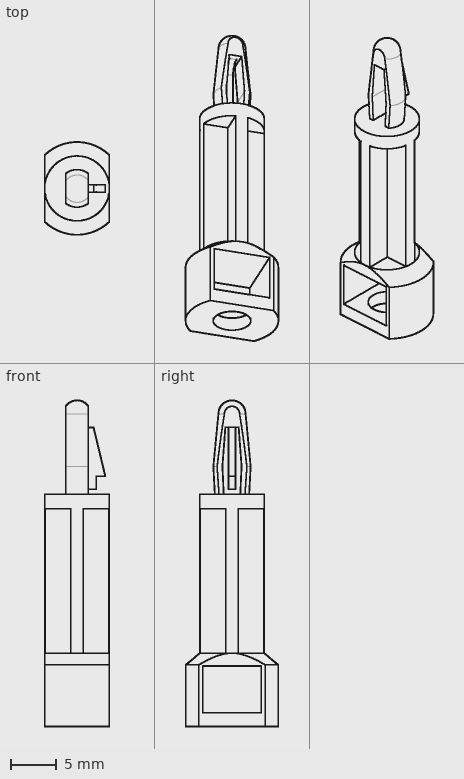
import cadquery as cq

foot_diameter = 10.15
body_diameter = 7.1
foot_height = 6.73
shoulder_top = 8.0
window_width = 6.35
window_bottom = 1.53
window_top = 6.6
screw_hole_diameter = 4.1

rib_thickness = 1.4
collar_bottom = 23.75
collar_top = 25.35

total_height = 35.6
pin_width = 2.5
pin_base_radius = 1.9
pin_bulge_radius = 2.047
pin_bulge_z = 28.37
dome_radius = 1.5
dome_base_z = total_height - dome_radius
slot_top = 32.65
slot_base_half_width = 0.9
slot_bulge_half_width = 1.05
slot_top_half_width = 0.7

barb_thickness = 0.8
barb_inner_x = 0.82
barb_root_radius = 1.28
barb_top_x = 1.8
barb_tip_x = 3.1
barb_tip_z = 27.3
barb_tail_x = 2.1
barb_bottom = 25.88


def cylinder(diameter, bottom, top):
    return cq.Workplane("XY").workplane(offset=bottom).circle(diameter / 2).extrude(top - bottom)


def box(x_size, y_size, bottom, top):
    return cq.Workplane("XY").workplane(offset=bottom).rect(x_size, y_size).extrude(top - bottom)


def make_foot():
    foot = (
        cq.Workplane("XZ")
        .lineTo(foot_diameter / 2, 0)
        .lineTo(foot_diameter / 2, foot_height)
        .lineTo(body_diameter / 2, shoulder_top)
        .lineTo(0, shoulder_top)
        .close()
        .revolve(360, (0, 0, 0), (0, 1, 0))
    )
    foot = foot.intersect(box(body_diameter, foot_diameter, 0, shoulder_top))
    window = box(body_diameter, window_width, window_bottom, window_top)
    screw_hole = cylinder(screw_hole_diameter, 0, window_bottom)
    return foot.cut(window).cut(screw_hole)


def make_column():
    ribs = box(body_diameter, rib_thickness, shoulder_top, collar_bottom)
    ribs = ribs.union(box(rib_thickness, body_diameter, shoulder_top, collar_bottom))
    ribs = ribs.intersect(cylinder(body_diameter, shoulder_top, collar_bottom))
    return ribs.union(cylinder(body_diameter, collar_bottom, collar_top))


def make_pin():
    dome_mid = dome_radius * 0.5 ** 0.5
    pin = (
        cq.Workplane("XZ")
        .moveTo(0, collar_top)
        .lineTo(pin_base_radius, collar_top)
        .lineTo(pin_bulge_radius, pin_bulge_z)
        .lineTo(dome_radius, dome_base_z)
        .threePointArc((dome_mid, dome_base_z + dome_mid), (0, total_height))
        .close()
        .revolve(360, (0, 0, 0), (0, 1, 0))
    )
    pin = pin.intersect(box(pin_width, 2 * pin_bulge_radius, collar_top, total_height))
    slot = (
        cq.Workplane("YZ")
        .moveTo(0, collar_top)
        .lineTo(slot_base_half_width, collar_top)
        .lineTo(slot_bulge_half_width, pin_bulge_z)
        .lineTo(slot_top_half_width, slot_top)
        .lineTo(0, slot_top)
        .close()
        .extrude(pin_width / 2, both=True)
    )
    return pin.cut(slot).cut(slot.mirror("XZ"))


def make_barb():
    arc_mid = barb_root_radius * (1 - 0.5 ** 0.5)
    return (
        cq.Workplane("XZ")
        .moveTo(barb_inner_x, barb_bottom)
        .lineTo(barb_tail_x, barb_bottom)
        .lineTo(barb_tail_x, barb_tip_z)
        .lineTo(barb_tip_x, barb_tip_z)
        .lineTo(barb_top_x, slot_top)
        .lineTo(barb_inner_x - barb_root_radius, slot_top)
        .threePointArc(
            (barb_inner_x - arc_mid, slot_top - arc_mid),
            (barb_inner_x, slot_top - barb_root_radius),
        )
        .close()
        .extrude(barb_thickness / 2, both=True)
    )


result = make_foot().union(make_column()).union(make_pin()).union(make_barb())